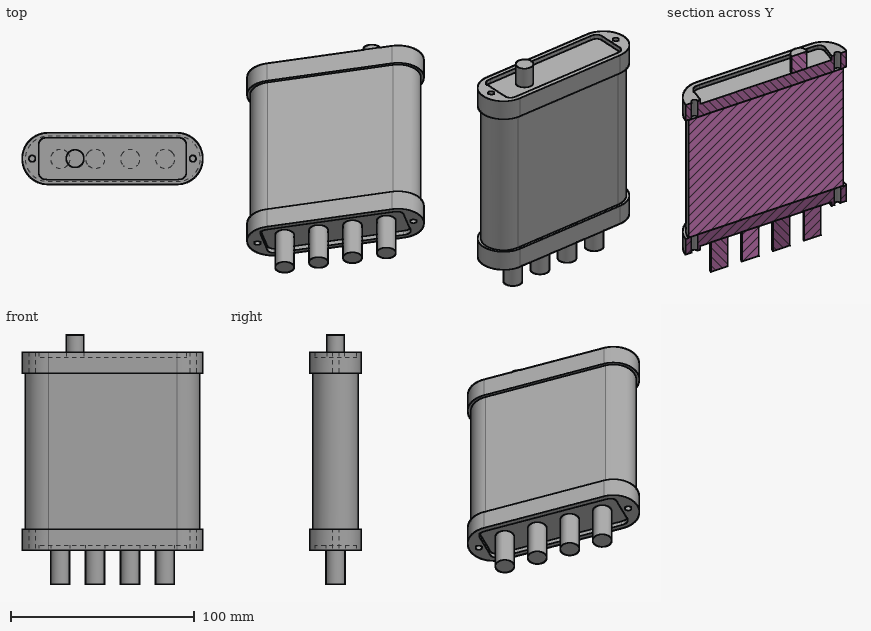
import cadquery as cq

total_height = 135.9
cap_height = 11.5
connector_projection = 18.5
knob_projection = 9.4
lower_cap_bottom = connector_projection
sleeve_bottom = lower_cap_bottom + cap_height
upper_cap_top = total_height - knob_projection
upper_cap_bottom = upper_cap_top - cap_height
sleeve_height = upper_cap_bottom - sleeve_bottom

cap_length = 98.5
cap_width = 28.3
sleeve_length = 95.1
sleeve_width = cap_width - (cap_length - sleeve_length)

recess_depth = 2.7
recess_wall = 2.7
recess_length = 80.3
recess_corner_radius = 3.5

screw_hole_diameter = 3.5
screw_hole_spacing = 87.5

knob_diameter = 9.6
knob_x = -20.4
connector_diameter = 10.5
connector_pitch = 19.0
connector_count = 4


def rounded_bar(length, width, bottom, height):
    """Upright bar with full half-round ends."""
    return cq.Workplane("XY", origin=(0, 0, bottom)).slot2D(length, width).extrude(height)


def cylinder(diameter, x, bottom, height):
    """Upright cylinder on the long centre line."""
    return cq.Workplane("XY", origin=(x, 0, bottom)).circle(diameter / 2).extrude(height)


def make_recess(bottom):
    """Recess volume: the cap outline moved inward, cut off square at both ends, corners rounded."""
    inner_outline = rounded_bar(
        cap_length - 2 * recess_wall, cap_width - 2 * recess_wall, bottom, recess_depth
    )
    end_limits = cq.Workplane("XY", origin=(0, 0, bottom)).rect(recess_length, cap_width).extrude(recess_depth)
    recess = inner_outline.intersect(end_limits)
    return recess.edges("|Z and (<X or >X)").fillet(recess_corner_radius)


def make_cap(bottom, recess_bottom):
    """Cap with a recess starting at recess_bottom and a screw hole through each end."""
    cap = rounded_bar(cap_length, cap_width, bottom, cap_height).cut(make_recess(recess_bottom))
    for side in (-1, 1):
        hole_x = side * screw_hole_spacing / 2
        cap = cap.cut(cylinder(screw_hole_diameter, hole_x, bottom, cap_height))
    return cap


def make_connector(index):
    """Connector at its place in the row, reaching up to the lower recess floor."""
    x = (index - (connector_count - 1) / 2) * connector_pitch
    return cylinder(connector_diameter, x, 0, connector_projection + recess_depth)


sleeve = rounded_bar(sleeve_length, sleeve_width, sleeve_bottom, sleeve_height)

upper_recess_floor = upper_cap_top - recess_depth
upper_cap = make_cap(upper_cap_bottom, upper_recess_floor)
lower_cap = make_cap(lower_cap_bottom, lower_cap_bottom)

knob = cylinder(knob_diameter, knob_x, upper_recess_floor, recess_depth + knob_projection)
connectors = [make_connector(index) for index in range(connector_count)]

result = cq.Compound.makeCompound([
    sleeve.val(),
    upper_cap.val(),
    lower_cap.val(),
    knob.val(),
    *[connector.val() for connector in connectors],
])